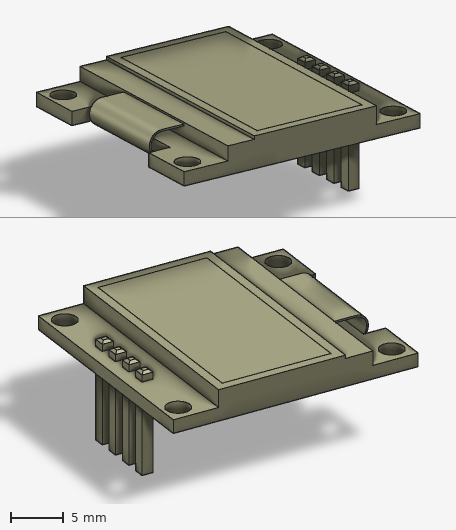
import cadquery as cq

BOARD_WIDTH = 25.0
BOARD_LENGTH = 27.0
BOARD_THICKNESS = 1.45
BACK = BOARD_LENGTH / 2
FRONT = -BACK

HOLE_DIAMETER = 2.5
HOLE_SIDE_INSET = 2.0
HOLE_END_INSET = 1.73

NOTCH_WIDTH = 12.95
NOTCH_DEPTH = 2.45
NOTCH_BACK = FRONT + NOTCH_DEPTH

DISPLAY_TOP = 3.35
GLASS_STEP = 0.35
LOWER_GLASS_TOP = DISPLAY_TOP - GLASS_STEP
DISPLAY_BACK = BACK - 5.0
LOWER_GLASS_LENGTH = 17.0
UPPER_GLASS_LENGTH = 13.99
DISPLAY_FRONT = DISPLAY_BACK - LOWER_GLASS_LENGTH

SCREEN_MARGIN = 1.0
SCREEN_WIDTH = BOARD_WIDTH - 2 * SCREEN_MARGIN
SCREEN_LENGTH = UPPER_GLASS_LENGTH - 2 * SCREEN_MARGIN
SCREEN_DEPTH = GLASS_STEP
SCREEN_CENTER_Y = DISPLAY_BACK - UPPER_GLASS_LENGTH / 2

RIBBON_WIDTH = 10.12
RIBBON_THICKNESS = 0.2
RIBBON_OUTER_RADIUS = 1.4
RIBBON_INNER_RADIUS = RIBBON_OUTER_RADIUS - RIBBON_THICKNESS
RIBBON_TOP = 2 * RIBBON_OUTER_RADIUS

PIN_COUNT = 4
PIN_PITCH = 2.45
PIN_SIZE = 1.22
PIN_Y = BACK - 2.05
PIN_TOP = 2.45
PIN_BOTTOM = -8.5
PIN_TIP_HEIGHT = 0.25
PIN_TIP_INSET = 0.32


def block(width, y_min, y_max, z_min, z_max):
    """Box centred on X between the given Y and Z limits."""
    return (
        cq.Workplane("XY")
        .box(width, y_max - y_min, z_max - z_min, centered=(True, False, False))
        .translate((0, y_min, z_min))
    )


def make_board():
    """Board plate with four mounting holes and the ribbon notch."""
    plate = block(BOARD_WIDTH, FRONT, BACK, 0, BOARD_THICKNESS)
    notch = block(NOTCH_WIDTH, FRONT, NOTCH_BACK, 0, BOARD_THICKNESS)
    holes = (
        cq.Workplane("XY")
        .rect(BOARD_WIDTH - 2 * HOLE_SIDE_INSET, BOARD_LENGTH - 2 * HOLE_END_INSET, forConstruction=True)
        .vertices()
        .circle(HOLE_DIAMETER / 2)
        .extrude(BOARD_THICKNESS)
    )
    return plate.cut(notch).cut(holes)


def make_display():
    """Stepped block of the two glass layers."""
    lower = block(BOARD_WIDTH, DISPLAY_FRONT, DISPLAY_BACK, BOARD_THICKNESS, LOWER_GLASS_TOP)
    upper_front = DISPLAY_BACK - UPPER_GLASS_LENGTH
    upper = block(BOARD_WIDTH, upper_front, DISPLAY_BACK, LOWER_GLASS_TOP, DISPLAY_TOP)
    return lower.union(upper)


def make_ribbon():
    """Thin strip from the display front, bent down to the notch wall."""
    return (
        cq.Workplane("YZ")
        .moveTo(DISPLAY_FRONT, RIBBON_TOP)
        .lineTo(NOTCH_BACK, RIBBON_TOP)
        .threePointArc((NOTCH_BACK - RIBBON_OUTER_RADIUS, RIBBON_OUTER_RADIUS), (NOTCH_BACK, 0))
        .lineTo(NOTCH_BACK, RIBBON_THICKNESS)
        .threePointArc(
            (NOTCH_BACK - RIBBON_INNER_RADIUS, RIBBON_OUTER_RADIUS),
            (NOTCH_BACK, RIBBON_TOP - RIBBON_THICKNESS),
        )
        .lineTo(DISPLAY_FRONT, RIBBON_TOP - RIBBON_THICKNESS)
        .close()
        .extrude(RIBBON_WIDTH / 2, both=True)
    )


def make_pin(x):
    """Square pin through the board with a bevelled upper tip."""
    shaft_height = PIN_TOP - PIN_BOTTOM
    return (
        cq.Workplane("XY", origin=(x, PIN_Y, PIN_BOTTOM))
        .rect(PIN_SIZE, PIN_SIZE)
        .extrude(shaft_height)
        .faces(">Z")
        .chamfer(PIN_TIP_HEIGHT, PIN_TIP_INSET)
    )


def make_screen():
    """Thin panel that fills the recess in the upper glass."""
    y_min = SCREEN_CENTER_Y - SCREEN_LENGTH / 2
    y_max = SCREEN_CENTER_Y + SCREEN_LENGTH / 2
    return block(SCREEN_WIDTH, y_min, y_max, DISPLAY_TOP - SCREEN_DEPTH, DISPLAY_TOP)


def make_module(screen):
    """Board, display block, ribbon and pins in one solid, recessed for the screen."""
    module = make_board().union(make_display()).union(make_ribbon())
    for index in range(PIN_COUNT):
        pin_x = (index - (PIN_COUNT - 1) / 2) * PIN_PITCH
        module = module.union(make_pin(pin_x))
    return module.cut(screen)


screen = make_screen()
module = make_module(screen)

result = cq.Compound.makeCompound([module.solids().val(), screen.val()])